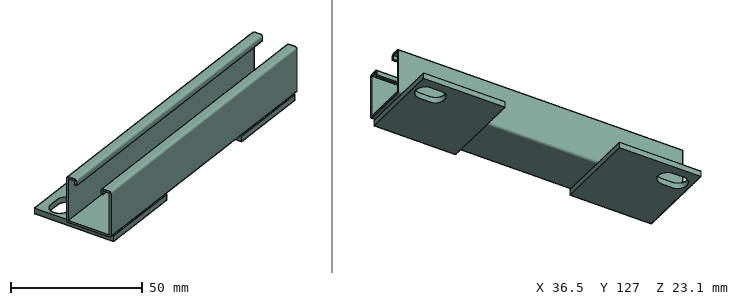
import cadquery as cq

channel_length = 127.0
channel_width = 20.7
channel_height = 20.6
sheet = 0.95
bend_radius = 1.1
lip_width = 4.8
lip_drop = 2.7
plate_size = 36.5
plate_thickness = 2.5
plate_end_gap = 1.5
slot_length = 12.7
slot_width = 8.1

half_width = channel_width / 2
plate_center_x = half_width - plate_size / 2
plate_center_y = channel_length / 2 - plate_end_gap - plate_size / 2
tab_width = plate_size - channel_width
slot_x = -half_width - tab_width / 2
slot_from_plate_center = plate_size / 2 - tab_width / 2


def make_channel():
    """Bent sheet C-channel running along Y, with rounded outer and sharp inner bends."""
    envelope = (
        cq.Workplane("XY")
        .box(channel_width, channel_length, channel_height, centered=(True, True, False))
        .edges("|Y")
        .fillet(bend_radius)
    )
    cavity = (
        cq.Workplane("XY", origin=(0, 0, sheet))
        .box(channel_width - 2 * sheet, channel_length, channel_height - 2 * sheet,
             centered=(True, True, False))
    )
    shell = envelope.cut(cavity)

    mouth_width = channel_width - 2 * lip_width
    mouth = (
        cq.Workplane("XY", origin=(0, 0, channel_height - sheet))
        .box(mouth_width, channel_length, sheet, centered=(True, True, False))
    )
    channel = shell.cut(mouth)

    for side in (-1, 1):
        lip_x = side * (mouth_width + sheet) / 2
        lip = (
            cq.Workplane("XY", origin=(lip_x, 0, channel_height - lip_drop))
            .box(sheet, channel_length, lip_drop, centered=(True, True, False))
        )
        channel = channel.union(lip)
        mouth_corner = cq.selectors.NearestToPointSelector((side * mouth_width / 2, 0, channel_height))
        channel = channel.edges("|Y").edges(mouth_corner).fillet(bend_radius)
    return channel


def make_plate(end):
    """Square mounting plate under one channel end (end = -1 or 1), slotted near its outer corner."""
    plate_y = end * plate_center_y
    slot_y = plate_y + end * slot_from_plate_center
    plate = (
        cq.Workplane("XY", origin=(plate_center_x, plate_y, -plate_thickness))
        .box(plate_size, plate_size, plate_thickness, centered=(True, True, False))
    )
    slot = (
        cq.Workplane("XY", origin=(slot_x, slot_y, -plate_thickness))
        .slot2D(slot_length, slot_width, 90)
        .extrude(plate_thickness)
    )
    return plate.cut(slot)


channel = make_channel()
plates = [make_plate(end) for end in (-1, 1)]

result = cq.Compound.makeCompound([channel.solids().val(), *[plate.solids().val() for plate in plates]])